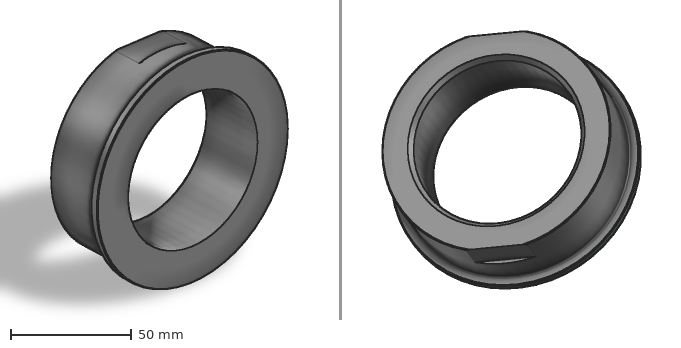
import cadquery as cq
import math

length = 34.0
flange_diameter = 107.0
flange_thickness = 4.0
body_diameter = 98.5
bore_diameter = 72.2
flange_chamfer = 0.4
body_chamfer = 0.4
bore_chamfer = 2.0
root_fillet = 0.9
flat_length = 15.0
flat_spacing = 95.0

flange_radius = flange_diameter / 2
body_radius = body_diameter / 2
bore_radius = bore_diameter / 2
flange_start = length - flange_thickness


def make_ring():
    """Revolve the flanged section, with its root fillet and chamfers, about X."""
    fillet_bend = root_fillet * (1 - math.sqrt(0.5))
    section = (
        cq.Workplane("XY")
        .moveTo(0, bore_radius + bore_chamfer)
        .lineTo(0, body_radius - body_chamfer)
        .lineTo(body_chamfer, body_radius)
        .lineTo(flange_start - root_fillet, body_radius)
        .threePointArc(
            (flange_start - fillet_bend, body_radius + fillet_bend),
            (flange_start, body_radius + root_fillet),
        )
        .lineTo(flange_start, flange_radius - flange_chamfer)
        .lineTo(flange_start + flange_chamfer, flange_radius)
        .lineTo(length - flange_chamfer, flange_radius)
        .lineTo(length, flange_radius - flange_chamfer)
        .lineTo(length, bore_radius)
        .lineTo(bore_chamfer, bore_radius)
        .close()
    )
    return section.revolve(360, (0, 0, 0), (1, 0, 0))


def make_flat_cutter(side):
    """Block that removes the body beyond one wrench flat; side is +1 or -1 along Z."""
    height = flange_radius - flat_spacing / 2
    center_z = side * (flat_spacing / 2 + height / 2)
    return cq.Workplane("XY").box(flat_length, flange_diameter, height).translate(
        (flat_length / 2, 0, center_z)
    )


result = make_ring()
for side in (1, -1):
    result = result.cut(make_flat_cutter(side))